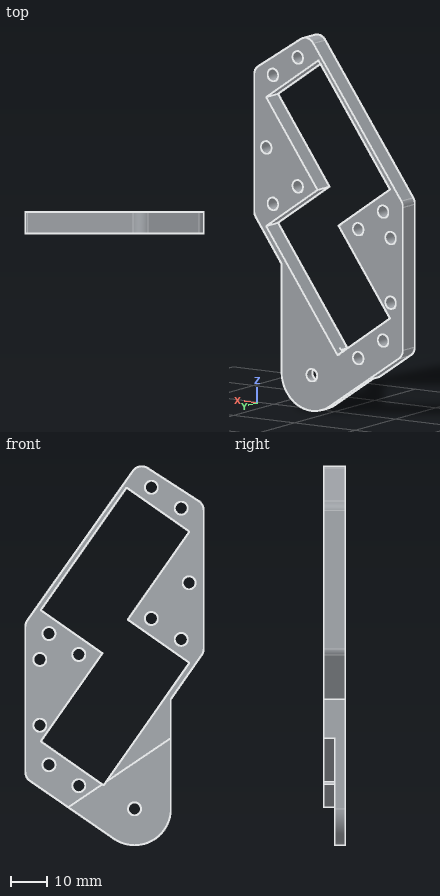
import math

import cadquery as cq

THICKNESS = 6.0
TAB_THICKNESS = 3.0
HOLE_DIAMETER = 3.5
CORNER_RADIUS = 3.0

SERVO_TILT = 35.0
SERVO_SPACING = 36.0
CUTOUT_WIDTH = 21.0
CUTOUT_LENGTH = 41.0
SCREW_PITCH_ACROSS = 10.0
SCREW_PITCH_ALONG = 49.0

LEFT_X = -24.66
RIGHT_X = 24.34
LEFT_SHOULDER_Z = 3.66
RIGHT_SHOULDER_Z = -4.3
PEAK = (6.53, 47.8)
TOP_RIGHT_Z = 36.3
BOTTOM_LEFT_Z = -38.76

TAB_RADIUS = 10.0
TAB_X = 5.34
TAB_Z = -47.3
TAB_RIGHT_X = TAB_X + TAB_RADIUS
TAB_NECK_Z = -17.2
TAB_ARC_ANGLE = -60.0

STEP_ANGLE = 34.0
STEP_RIGHT_Z = -27.86

SIDE_HOLE_MARGIN = 4.02
RIGHT_SIDE_HOLE_Z = 14.72
LEFT_SIDE_HOLES_Z = (-6.31, -24.36)


def plate_sketch():
    """Workplane whose local axes are X and Z; its normal points to -Y."""
    return cq.Workplane("XZ")


def lower_edge_tangent_point():
    """Point where the straight lower-left edge touches the tab arc."""
    dx = TAB_X - LEFT_X
    dz = TAB_Z - BOTTOM_LEFT_Z
    distance = math.hypot(dx, dz)
    angle_to_corner = math.atan2(-dz, -dx)
    radius_angle = angle_to_corner + math.acos(TAB_RADIUS / distance)
    return on_tab_arc(radius_angle)


def on_tab_arc(angle):
    """Point on the tab circle at an angle in radians from +X towards +Z."""
    return (TAB_X + TAB_RADIUS * math.cos(angle), TAB_Z + TAB_RADIUS * math.sin(angle))


def make_blank():
    tangent = lower_edge_tangent_point()
    blank = (
        plate_sketch()
        .moveTo(LEFT_X, BOTTOM_LEFT_Z)
        .lineTo(LEFT_X, LEFT_SHOULDER_Z)
        .lineTo(*PEAK)
        .lineTo(RIGHT_X, TOP_RIGHT_Z)
        .lineTo(RIGHT_X, RIGHT_SHOULDER_Z)
        .lineTo(TAB_RIGHT_X, TAB_NECK_Z)
        .lineTo(TAB_RIGHT_X, TAB_Z)
        .threePointArc(on_tab_arc(math.radians(TAB_ARC_ANGLE)), tangent)
        .close()
        .extrude(-THICKNESS)
    )
    rounded_corners = [
        (LEFT_X, BOTTOM_LEFT_Z),
        (LEFT_X, LEFT_SHOULDER_Z),
        PEAK,
        (RIGHT_X, TOP_RIGHT_Z),
        (RIGHT_X, RIGHT_SHOULDER_Z),
    ]
    for x, z in rounded_corners:
        edge = cq.selectors.NearestToPointSelector((x, THICKNESS / 2, z))
        blank = blank.edges("|Y").edges(edge).fillet(CORNER_RADIUS)
    return blank


def servo_mount_cut(center_z):
    """Servo body opening with its four screw holes."""
    mount = plate_sketch().center(0, center_z).transformed(rotate=(0, 0, -SERVO_TILT))
    opening = mount.rect(CUTOUT_WIDTH, CUTOUT_LENGTH).extrude(-THICKNESS)
    screws = (
        mount.rect(SCREW_PITCH_ACROSS, SCREW_PITCH_ALONG, forConstruction=True)
        .vertices()
        .circle(HOLE_DIAMETER / 2)
        .extrude(-THICKNESS)
    )
    return opening.union(screws)


def single_holes_cut():
    """Side mounting holes and the tab pivot hole."""
    places = [(RIGHT_X - SIDE_HOLE_MARGIN, RIGHT_SIDE_HOLE_Z), (TAB_X, TAB_Z)]
    places += [(LEFT_X + SIDE_HOLE_MARGIN, z) for z in LEFT_SIDE_HOLES_Z]
    return plate_sketch().pushPoints(places).circle(HOLE_DIAMETER / 2).extrude(-THICKNESS)


def tab_relief_cut():
    """Material removed from the -Y face below the slanted step line."""
    span = TAB_RIGHT_X - LEFT_X
    step_left_z = STEP_RIGHT_Z - span * math.tan(math.radians(STEP_ANGLE))
    below_tab_z = TAB_Z - 2 * TAB_RADIUS
    return (
        plate_sketch()
        .moveTo(TAB_RIGHT_X, STEP_RIGHT_Z)
        .lineTo(LEFT_X, step_left_z)
        .lineTo(LEFT_X, below_tab_z)
        .lineTo(TAB_RIGHT_X, below_tab_z)
        .close()
        .extrude(-(THICKNESS - TAB_THICKNESS))
    )


result = make_blank()
for mount_z in (SERVO_SPACING / 2, -SERVO_SPACING / 2):
    result = result.cut(servo_mount_cut(mount_z))
result = result.cut(single_holes_cut())
result = result.cut(tab_relief_cut())